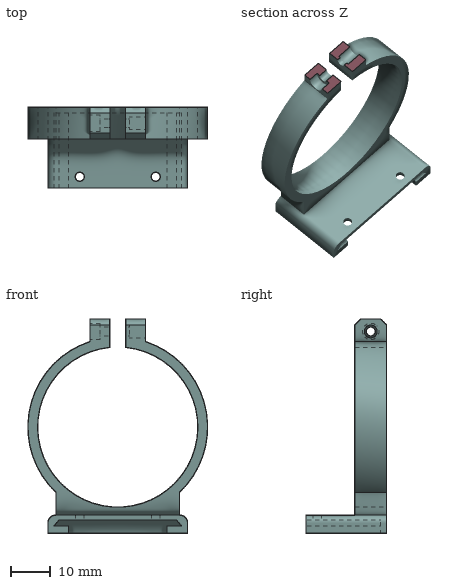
import cadquery as cq

RING_INNER_DIAMETER = 40.0
RING_OUTER_DIAMETER = 45.0
RING_WIDTH = 8.0
RING_CENTER_Z = 26.6

SHOE_WIDTH = 35.0
SHOE_LENGTH = 20.25
SHOE_HEIGHT = 4.6
SHOE_EDGE_RADIUS = 2.0

SLOT_WALL = 1.5
SLOT_MOUTH_WIDTH = 24.6
SLOT_LIP_HEIGHT = 1.85
SLOT_ROOF_THICKNESS = 1.3
SLOT_ROOF_INSET = 1.3
SLOT_WIDTH = SHOE_WIDTH - 2 * SLOT_WALL
SLOT_LENGTH = SHOE_LENGTH - SLOT_WALL
SLOT_ROOF_Z = SHOE_HEIGHT - SLOT_ROOF_THICKNESS

NECK_WIDTH = SHOE_WIDTH - 2 * SHOE_EDGE_RADIUS

SHOE_HOLE_DIAMETER = 2.2
SHOE_HOLE_SPACING = 19.0
SHOE_HOLE_FRONT_OFFSET = 2.85

TOP_Z = 53.66
LUG_THICKNESS = 5.0
LUG_GAP = 4.0
LUG_CHAMFER = 1.5
LUG_SPAN = LUG_GAP + 2 * LUG_THICKNESS

CLAMP_HOLE_DIAMETER = 2.2
CLAMP_HOLE_TOP_OFFSET = 3.15
HEAD_RECESS_DIAMETER = 4.1
INSERT_RECESS_DIAMETER = 3.2
HEAD_RECESS_DEPTH = 2.5
INSERT_RECESS_DEPTH = 4.0


def block(width, length, bottom_z, top_z):
    """Box centred on X = 0 that reaches from Y = 0 towards -Y."""
    return cq.Workplane("XY").box(
        width, length, top_z - bottom_z, centered=(True, False, False)
    ).translate((0, -length, bottom_z))


def ring_disc(diameter):
    """Solid disc on the ring axis, as wide as the ring."""
    return (
        cq.Workplane("XZ")
        .center(0, RING_CENTER_Z)
        .circle(diameter / 2)
        .extrude(RING_WIDTH)
    )


def slot_cutter():
    """Undercut slot with sloped upper corners, ending at the closed rear wall."""
    mouth = SLOT_MOUTH_WIDTH / 2
    side = SLOT_WIDTH / 2
    roof = side - SLOT_ROOF_INSET
    return (
        cq.Workplane("XZ", origin=(0, -SLOT_WALL, 0))
        .polyline([
            (-mouth, 0),
            (-mouth, SLOT_LIP_HEIGHT),
            (-side, SLOT_LIP_HEIGHT),
            (-roof, SLOT_ROOF_Z),
            (roof, SLOT_ROOF_Z),
            (side, SLOT_LIP_HEIGHT),
            (mouth, SLOT_LIP_HEIGHT),
            (mouth, 0),
        ])
        .close()
        .extrude(SLOT_LENGTH)
    )


def make_shoe():
    """Shoe with rounded upper edges, undercut slot and two screw holes."""
    shoe = block(SHOE_WIDTH, SHOE_LENGTH, 0, SHOE_HEIGHT)
    shoe = shoe.edges("|Y and >Z").fillet(SHOE_EDGE_RADIUS)
    shoe_holes = (
        cq.Workplane("XY")
        .center(0, SHOE_HOLE_FRONT_OFFSET - SHOE_LENGTH)
        .rarray(SHOE_HOLE_SPACING, 1, 2, 1)
        .circle(SHOE_HOLE_DIAMETER / 2)
        .extrude(SHOE_HEIGHT)
    )
    return shoe.cut(slot_cutter()).cut(shoe_holes)


def make_clamp_ring():
    """Split ring with its neck and its chamfered lugs."""
    neck = block(NECK_WIDTH, RING_WIDTH, SHOE_HEIGHT, RING_CENTER_Z)
    lugs = block(LUG_SPAN, RING_WIDTH, RING_CENTER_Z, TOP_Z)
    lugs = lugs.edges("|X and >Z").chamfer(LUG_CHAMFER)
    split = block(LUG_GAP, RING_WIDTH, RING_CENTER_Z, TOP_Z)
    ring = ring_disc(RING_OUTER_DIAMETER).union(neck).union(lugs)
    return ring.cut(ring_disc(RING_INNER_DIAMETER)).cut(split)


def clamp_bore(diameter, start_x, length):
    """Cylinder on the clamp screw axis, running towards +X from start_x."""
    axis_start = (start_x, -RING_WIDTH / 2, TOP_Z - CLAMP_HOLE_TOP_OFFSET)
    return cq.Workplane("YZ", origin=axis_start).circle(diameter / 2).extrude(length)


def clamp_screw_cutter():
    """Through hole of both lugs with a recess in each outer face."""
    outer_x = LUG_SPAN / 2
    through_hole = clamp_bore(CLAMP_HOLE_DIAMETER, -outer_x, LUG_SPAN)
    head_recess = clamp_bore(HEAD_RECESS_DIAMETER, -outer_x, HEAD_RECESS_DEPTH)
    insert_recess = clamp_bore(INSERT_RECESS_DIAMETER, outer_x - INSERT_RECESS_DEPTH, INSERT_RECESS_DEPTH)
    return through_hole.union(head_recess).union(insert_recess)


result = make_shoe().union(make_clamp_ring()).cut(clamp_screw_cutter())